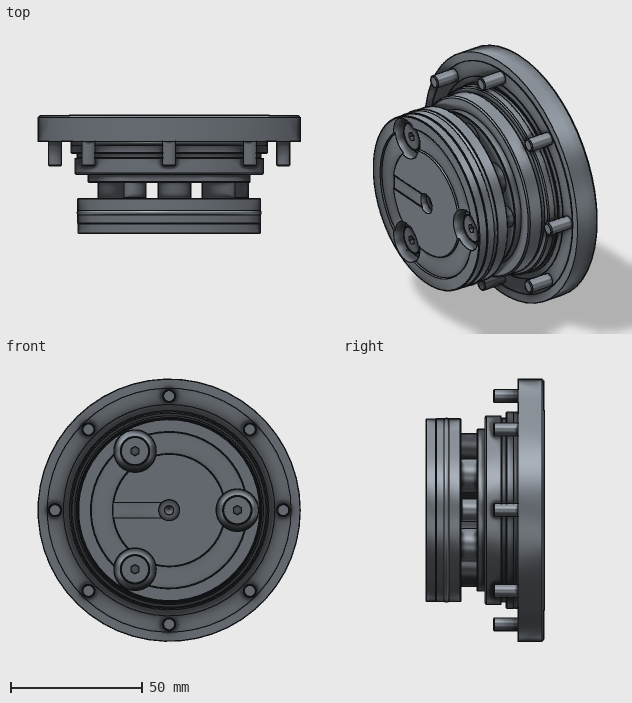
import cadquery as cq
import math

TOTAL_DEPTH = 45.3

FLANGE_R = 50.0
FLANGE_DEPTH = 10.1
FLANGE_CHAMFER = 0.8
BACK_LIP_R = 38.0
BACK_LIP_HEIGHT = 0.3
FACE_GROOVE_INNER_R = 40.3
FACE_GROOVE_OUTER_R = 46.5
FACE_GROOVE_DEPTH = 0.3
SPIGOT_GAP_R = 38.0
SPIGOT_GAP_DEPTH = 0.5

SPIGOT_R = 37.5
SPIGOT_CHAMFER = 0.5
SPIGOT_RING_DEPTH = 11.8
SPIGOT_END_DEPTH = 14.8
NECK_R = 35.1
NECK_RELIEF_DEPTH = 16.2
NECK_RELIEF_STEP = 0.1
COLLAR_R = 36.0
COLLAR_START_DEPTH = 16.7
COLLAR_END_DEPTH = 22.8
COLLAR_CHAMFER = 0.6
STEP_R = 30.9
STEP_END_DEPTH = 25.8
STEP_CHAMFER = 0.3

PLATE_R = 69.8 / 2
PLATE_START_DEPTH = 31.9
PLATE_FRONT_R = 34.8
PLATE_CHAMFER = 0.3
SEAL_START_DEPTH = 36.5
SEAL_END_DEPTH = 38.3
SEAL_R = PLATE_R + 0.2
SEAL_GROOVE_STEP = 0.6
LINE_GROOVE_DEPTH = 41.3
LINE_GROOVE_WIDTH = 0.4
LINE_GROOVE_STEP = 0.3

RING_RECESS = 0.7
RING_WALL_TAPER = 0.3
RING_INNER_R = 21.3
RING_OUTER_R = 30.0
SLOT_WIDTH = 5.8
SLOT_RECESS = 0.4
CENTRE_BORE_DIA = 8.0
CENTRE_BORE_DEPTH = 3.0
CENTRE_DRILL_DIA = 3.5

SCREW_CIRCLE_R = 26.0
SCREW_ANGLES = (0, 120, 240)
SCREW_BODY_DIA = 8.5
SCREW_BODY_CHAMFER = 0.3
SEAT_DIA = 16.2
HEAD_SINK = 2.5
HEAD_CONE_BASE_DIA = 16.0
HEAD_CONE_TOP_DIA = 11.2
HEAD_CONE_HEIGHT = 2.4
HEAD_DISC_DIA = 10.4
HEAD_DISC_HEIGHT = 0.3
SOCKET_FLATS = 3.1
SOCKET_DEPTH = 2.0
PILLAR_DIA = 12.5
PILLAR_CIRCLE_R = 23.0
PILLAR_OFFSET_ANGLE = 35

PIN_COUNT = 8
PIN_DIA = 5.0
PIN_CIRCLE_R = 43.5
PIN_END_DEPTH = 19.5
PIN_CHAMFER = 0.4


def polar(radius, angle):
    """X and Z of a point on a circle around the Y axis."""
    return radius * math.cos(math.radians(angle)), radius * math.sin(math.radians(angle))


def face_plane(depth, x=0, z=0):
    """Sketch plane facing -Y, at the given depth, with its origin at X, Z."""
    return cq.Workplane(cq.Plane(origin=(x, -depth, z), xDir=(1, 0, 0), normal=(0, -1, 0)))


def cylinder(diameter, start, end, x=0, z=0):
    return face_plane(start, x, z).circle(diameter / 2).extrude(end - start)


def ring(inner_r, outer_r, start, end):
    return face_plane(start).circle(outer_r).circle(inner_r).extrude(end - start)


def turned(outline):
    """Revolve a closed outline drawn in radius and -Y."""
    return outline.close().revolve(360, (0, 0, 0), (0, 1, 0))


def make_flange_and_body():
    lip = BACK_LIP_HEIGHT
    gap_floor = FLANGE_DEPTH - SPIGOT_GAP_DEPTH
    seal_mid = (FLANGE_DEPTH + SPIGOT_RING_DEPTH) / 2
    seal_edge_r = SPIGOT_R - SEAL_GROOVE_STEP
    relief_r = NECK_R - NECK_RELIEF_STEP
    outline = (
        cq.Workplane("XY")
        .lineTo(BACK_LIP_R, 0)
        .lineTo(BACK_LIP_R, -lip)
        .lineTo(FLANGE_R - FLANGE_CHAMFER, -lip)
        .lineTo(FLANGE_R, -lip - FLANGE_CHAMFER)
        .lineTo(FLANGE_R, -FLANGE_DEPTH)
        .lineTo(SPIGOT_GAP_R, -FLANGE_DEPTH)
        .lineTo(SPIGOT_GAP_R, -gap_floor)
        .lineTo(seal_edge_r, -gap_floor)
        .lineTo(seal_edge_r, -FLANGE_DEPTH)
        .threePointArc((SPIGOT_R, -seal_mid), (seal_edge_r, -SPIGOT_RING_DEPTH))
        .lineTo(SPIGOT_R, -SPIGOT_RING_DEPTH)
        .lineTo(SPIGOT_R, -SPIGOT_END_DEPTH + SPIGOT_CHAMFER)
        .lineTo(SPIGOT_R - SPIGOT_CHAMFER, -SPIGOT_END_DEPTH)
        .lineTo(NECK_R, -SPIGOT_END_DEPTH)
        .lineTo(NECK_R, -NECK_RELIEF_DEPTH)
        .lineTo(relief_r, -NECK_RELIEF_DEPTH)
        .lineTo(relief_r, -COLLAR_START_DEPTH)
        .lineTo(COLLAR_R, -COLLAR_START_DEPTH)
        .lineTo(COLLAR_R, -COLLAR_END_DEPTH + COLLAR_CHAMFER)
        .lineTo(COLLAR_R - COLLAR_CHAMFER, -COLLAR_END_DEPTH)
        .lineTo(STEP_R, -COLLAR_END_DEPTH)
        .lineTo(STEP_R, -STEP_END_DEPTH + STEP_CHAMFER)
        .lineTo(STEP_R - STEP_CHAMFER, -STEP_END_DEPTH)
        .lineTo(0, -STEP_END_DEPTH)
    )
    groove_floor = FLANGE_DEPTH - FACE_GROOVE_DEPTH
    face_groove = ring(FACE_GROOVE_INNER_R, FACE_GROOVE_OUTER_R, groove_floor, FLANGE_DEPTH)
    return turned(outline).cut(face_groove)


def make_pin(angle):
    x, z = polar(PIN_CIRCLE_R, angle)
    root_depth = FLANGE_DEPTH / 2
    return cylinder(PIN_DIA, root_depth, PIN_END_DEPTH, x, z).faces("<Y").chamfer(PIN_CHAMFER)


def make_plate():
    seal_mid = (SEAL_START_DEPTH + SEAL_END_DEPTH) / 2
    seal_edge_r = PLATE_R - SEAL_GROOVE_STEP
    line_r = PLATE_R - LINE_GROOVE_STEP
    line_end = LINE_GROOVE_DEPTH + LINE_GROOVE_WIDTH
    outline = (
        cq.Workplane("XY")
        .moveTo(0, -PLATE_START_DEPTH)
        .lineTo(PLATE_R - PLATE_CHAMFER, -PLATE_START_DEPTH)
        .lineTo(PLATE_R, -PLATE_START_DEPTH - PLATE_CHAMFER)
        .lineTo(PLATE_R, -SEAL_START_DEPTH)
        .lineTo(seal_edge_r, -SEAL_START_DEPTH)
        .threePointArc((SEAL_R, -seal_mid), (seal_edge_r, -SEAL_END_DEPTH))
        .lineTo(PLATE_R, -SEAL_END_DEPTH)
        .lineTo(PLATE_R, -LINE_GROOVE_DEPTH)
        .lineTo(line_r, -LINE_GROOVE_DEPTH)
        .lineTo(line_r, -line_end)
        .lineTo(PLATE_FRONT_R, -line_end)
        .lineTo(PLATE_FRONT_R, -TOTAL_DEPTH + PLATE_CHAMFER)
        .lineTo(PLATE_FRONT_R - PLATE_CHAMFER, -TOTAL_DEPTH)
        .lineTo(0, -TOTAL_DEPTH)
    )
    return turned(outline)


def cut_front_recesses(plate):
    ring_floor = TOTAL_DEPTH - RING_RECESS
    recess_ring = turned(
        cq.Workplane("XY")
        .moveTo(RING_INNER_R, -TOTAL_DEPTH)
        .lineTo(RING_INNER_R + RING_WALL_TAPER, -ring_floor)
        .lineTo(RING_OUTER_R - RING_WALL_TAPER, -ring_floor)
        .lineTo(RING_OUTER_R, -TOTAL_DEPTH)
    )
    slot_length = (RING_INNER_R + RING_OUTER_R) / 2
    slot = (
        face_plane(TOTAL_DEPTH - SLOT_RECESS, -slot_length / 2)
        .rect(slot_length, SLOT_WIDTH)
        .extrude(SLOT_RECESS)
    )
    bore_floor = TOTAL_DEPTH - CENTRE_BORE_DEPTH
    bore = cylinder(CENTRE_BORE_DIA, bore_floor, TOTAL_DEPTH)
    drill_r = CENTRE_DRILL_DIA / 2
    drill_point = cq.Workplane(
        cq.Solid.makeCone(drill_r, 0, drill_r, cq.Vector(0, -bore_floor, 0), cq.Vector(0, 1, 0))
    )
    return plate.cut(recess_ring).cut(slot).cut(bore).cut(drill_point)


def add_screw_head(plate, angle):
    """Straight-sided seat holding a conical screw head with a raised disc and a hexagon socket."""
    x, z = polar(SCREW_CIRCLE_R, angle)
    head_top = TOTAL_DEPTH - HEAD_SINK
    cone_top = head_top - HEAD_DISC_HEIGHT
    seat_floor = cone_top - HEAD_CONE_HEIGHT
    seat = cylinder(SEAT_DIA, seat_floor, TOTAL_DEPTH, x, z)
    cone = cq.Workplane(
        cq.Solid.makeCone(
            HEAD_CONE_BASE_DIA / 2,
            HEAD_CONE_TOP_DIA / 2,
            HEAD_CONE_HEIGHT,
            cq.Vector(x, -seat_floor, z),
            cq.Vector(0, -1, 0),
        )
    )
    disc = cylinder(HEAD_DISC_DIA, cone_top, head_top, x, z)
    socket_corners = SOCKET_FLATS / math.cos(math.radians(30))
    socket = (
        face_plane(head_top - SOCKET_DEPTH, x, z)
        .transformed(rotate=(0, 0, 90))
        .polygon(6, socket_corners)
        .extrude(SOCKET_DEPTH)
    )
    return plate.cut(seat).union(cone).union(disc).cut(socket)


def make_screw_body(angle):
    x, z = polar(SCREW_CIRCLE_R, angle)
    shoulder = cylinder(SCREW_BODY_DIA, STEP_END_DEPTH, PLATE_START_DEPTH, x, z)
    return shoulder.faces("<Y").chamfer(SCREW_BODY_CHAMFER)


def make_pillar(angle):
    x, z = polar(PILLAR_CIRCLE_R, angle)
    return cylinder(PILLAR_DIA, STEP_END_DEPTH, PLATE_START_DEPTH, x, z)


plate = cut_front_recesses(make_plate())
for screw_angle in SCREW_ANGLES:
    plate = add_screw_head(plate, screw_angle)

result = make_flange_and_body().union(plate)
for screw_angle in SCREW_ANGLES:
    result = result.union(make_screw_body(screw_angle))
    for side in (-1, 1):
        result = result.union(make_pillar(screw_angle + side * PILLAR_OFFSET_ANGLE))
for pin_index in range(PIN_COUNT):
    result = result.union(make_pin(pin_index * 360 / PIN_COUNT))